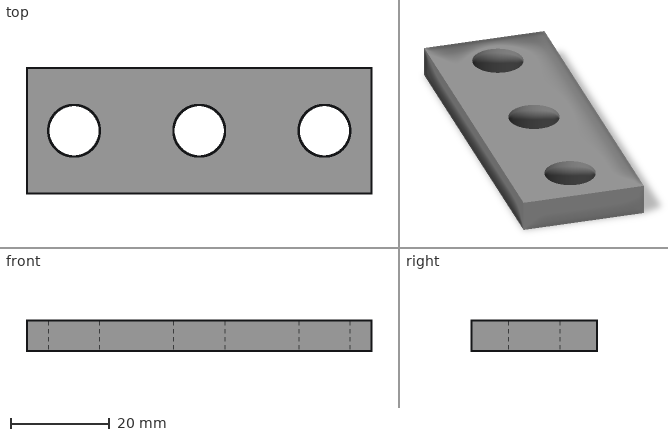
import cadquery as cq

length = 69.85
width = 25.4
thickness = 6.2

hole_diameter = 10.4
hole_spacing = 25.35
hole_count = 3

plate = cq.Workplane("XY").box(length, width, thickness)

result = (
    plate.faces(">Z")
    .workplane()
    .rarray(hole_spacing, width, hole_count, 1)
    .hole(hole_diameter)
)